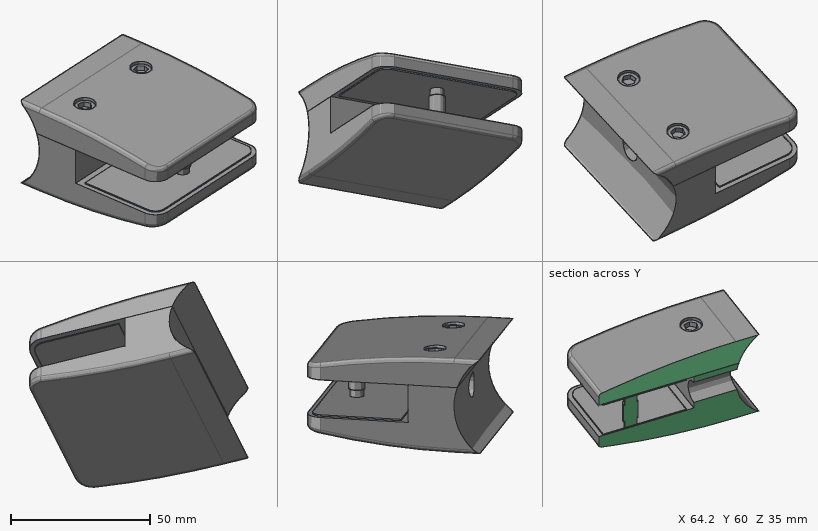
import cadquery as cq
import math

LENGTH = 64.2
WIDTH = 60.0
HEIGHT = 35.0
HALF_HEIGHT = HEIGHT / 2

TUBE_RADIUS = 21.2
NOSE_HALF_HEIGHT = 12.15
CORNER_RADIUS = 6.0
EDGE_RADIUS = 1.55

TUBE_AXIS_X = -math.sqrt(TUBE_RADIUS**2 - HALF_HEIGHT**2)
SEAT_BOTTOM_X = TUBE_AXIS_X + TUBE_RADIUS

TAPER_LENGTH = LENGTH - SEAT_BOTTOM_X
TAPER_DROP = HALF_HEIGHT - NOSE_HALF_HEIGHT
TAPER_RADIUS = (TAPER_LENGTH**2 + TAPER_DROP**2) / (2 * TAPER_DROP)

SLOT_HALF_HEIGHT = 7.0
SLOT_START_X = 26.15
WEB_HOLE_DIAMETER = 9.0

GASKET_START_X = 29.1
GASKET_THICKNESS = 0.5
GASKET_INSET = 1.8
GASKET_CORNER_RADIUS = CORNER_RADIUS - GASKET_INSET
GASKET_FACE_Z = SLOT_HALF_HEIGHT - GASKET_THICKNESS

PIN_X = 51.3
PIN_DIAMETER = 5.0
PIN_COLLAR_DIAMETER = 6.0
PIN_COLLAR_LENGTH = 7.5

SCREW_X = 19.2
SCREW_SPACING = 32.0
SCREW_ROW_CENTER_Y = -0.2
SCREW_DIAMETER = 8.0
SCREW_TOP_Z = 16.5
SCREW_EDGE_RADIUS = 0.6
SOCKET_ACROSS_FLATS = 4.55
SOCKET_ACROSS_CORNERS = SOCKET_ACROSS_FLATS / math.cos(math.pi / 6)
SOCKET_DEPTH = 2.0
SOCKET_TURN = 17.5


def screw_y(side):
    """Y of the screw on the given side, -1 or 1."""
    return SCREW_ROW_CENTER_Y + side * SCREW_SPACING / 2


def taper_z(x):
    """Height of the curved outer face at x."""
    return HALF_HEIGHT - TAPER_RADIUS + math.sqrt(TAPER_RADIUS**2 - (x - SEAT_BOTTOM_X) ** 2)


def cylinder_z(x, y, bottom_z, diameter, length):
    """Upright cylinder standing on bottom_z."""
    return cq.Workplane("XY", origin=(x, y, bottom_z)).circle(diameter / 2).extrude(length)


def make_closed_block():
    """Solid block with the outer shape of both jaws together."""
    middle_x = (SEAT_BOTTOM_X + LENGTH) / 2
    block = (
        cq.Workplane("XZ")
        .moveTo(TUBE_AXIS_X, HALF_HEIGHT)
        .lineTo(SEAT_BOTTOM_X, HALF_HEIGHT)
        .threePointArc((middle_x, taper_z(middle_x)), (LENGTH, NOSE_HALF_HEIGHT))
        .lineTo(LENGTH, -NOSE_HALF_HEIGHT)
        .threePointArc((middle_x, -taper_z(middle_x)), (SEAT_BOTTOM_X, -HALF_HEIGHT))
        .lineTo(TUBE_AXIS_X, -HALF_HEIGHT)
        .close()
        .extrude(WIDTH / 2, both=True)
    )
    block = block.edges("|Z and >X").fillet(CORNER_RADIUS)

    for edge_z in (HALF_HEIGHT, -HALF_HEIGHT):
        start = cq.selectors.NearestToPointSelector((SEAT_BOTTOM_X / 2, -WIDTH / 2, edge_z))
        block = block.edges(start).fillet(EDGE_RADIUS)

    tube = cq.Workplane("XZ").center(TUBE_AXIS_X, 0).circle(TUBE_RADIUS).extrude(WIDTH, both=True)
    return block.cut(tube)


def make_space_above(z):
    """Box that covers everything above z."""
    return cq.Workplane("XY", origin=(0, 0, z)).rect(4 * LENGTH, 2 * WIDTH).extrude(HEIGHT)


def make_upper_jaw(block):
    """Removable jaw with a bore for each screw."""
    jaw = block.intersect(make_space_above(SLOT_HALF_HEIGHT))
    for side in (-1, 1):
        jaw = jaw.cut(cylinder_z(SCREW_X, screw_y(side), SLOT_HALF_HEIGHT, SCREW_DIAMETER, HEIGHT))
    return jaw


def make_lower_body(block):
    """Lower jaw and web in one piece, with the slot and the hole through the web."""
    slot = (
        cq.Workplane("XY")
        .box(LENGTH, 2 * WIDTH, 2 * SLOT_HALF_HEIGHT, centered=(False, True, True))
        .translate((SLOT_START_X, 0, 0))
    )
    web_hole = cq.Workplane("YZ").circle(WEB_HOLE_DIAMETER / 2).extrude(SLOT_START_X)
    return block.cut(make_space_above(SLOT_HALF_HEIGHT)).cut(slot).cut(web_hole)


def make_gasket(bottom_z):
    """Thin lining plate with rounded corners at the nose."""
    gasket_length = LENGTH - GASKET_INSET - GASKET_START_X
    gasket_width = WIDTH - 2 * GASKET_INSET
    return (
        cq.Workplane("XY", origin=(GASKET_START_X, 0, bottom_z))
        .box(gasket_length, gasket_width, GASKET_THICKNESS, centered=(False, True, False))
        .edges("|Z and >X")
        .fillet(GASKET_CORNER_RADIUS)
    )


def make_pin():
    """Pin between the gaskets with a wider collar at mid height."""
    shank = cylinder_z(PIN_X, 0, -GASKET_FACE_Z, PIN_DIAMETER, 2 * GASKET_FACE_Z)
    collar = cylinder_z(PIN_X, 0, -PIN_COLLAR_LENGTH / 2, PIN_COLLAR_DIAMETER, PIN_COLLAR_LENGTH)
    return shank.union(collar)


def make_screw(y, socket_turn):
    """Cylindrical screw with a rounded rim and a hexagon socket."""
    screw = cylinder_z(SCREW_X, y, SLOT_HALF_HEIGHT, SCREW_DIAMETER, SCREW_TOP_Z - SLOT_HALF_HEIGHT)
    screw = screw.faces(">Z").edges().fillet(SCREW_EDGE_RADIUS)
    socket = (
        cq.Workplane("XY")
        .polygon(6, SOCKET_ACROSS_CORNERS)
        .extrude(SOCKET_DEPTH)
        .rotate((0, 0, 0), (0, 0, 1), socket_turn)
        .translate((SCREW_X, y, SCREW_TOP_Z - SOCKET_DEPTH))
    )
    return screw.cut(socket)


closed_block = make_closed_block()
upper_jaw = make_upper_jaw(closed_block)
lower_body = make_lower_body(closed_block)
gaskets = [make_gasket(bottom_z) for bottom_z in (-SLOT_HALF_HEIGHT, GASKET_FACE_Z)]
pin = make_pin()
screws = [make_screw(screw_y(side), -side * SOCKET_TURN) for side in (-1, 1)]

result = cq.Compound.makeCompound(
    [
        upper_jaw.val(),
        lower_body.val(),
        *[gasket.val() for gasket in gaskets],
        pin.val(),
        *[screw.val() for screw in screws],
    ]
)